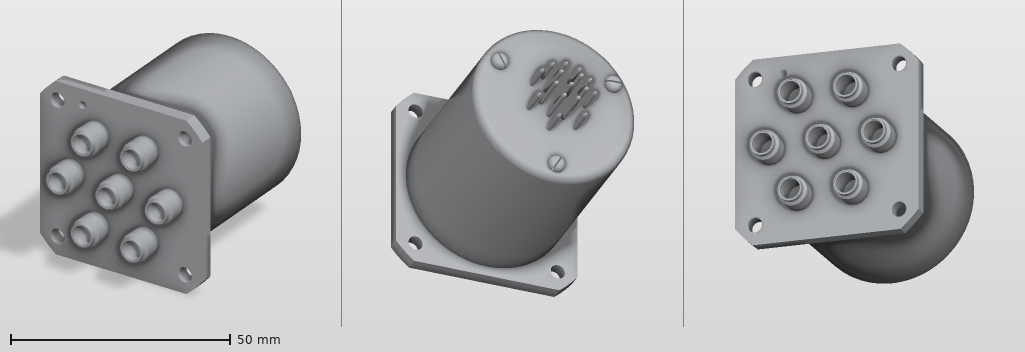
import cadquery as cq
import math


OVERALL_LENGTH = 61.9

FLANGE_SIDE = 44.5
FLANGE_THICKNESS = 3.3
FLANGE_CORNER_RADIUS = 28.55
MOUNT_HOLE_OFFSET = 17.45
MOUNT_HOLE_RADIUS = 1.75
MOUNT_HOLE_CHAMFER = 0.2

DIMPLE_X = -10.5
DIMPLE_Z = 18.15
DIMPLE_RADIUS = 1.0
DIMPLE_DEPTH = 1.0

CAN_RADIUS = 19.9
CAN_LENGTH = 42.4
CAN_EDGE_FILLET = 1.85
CAN_END = FLANGE_THICKNESS + CAN_LENGTH

CONNECTOR_COUNT = 6
CONNECTOR_RING_RADIUS = 13.5
CONNECTOR_LENGTH = 6.2
BARREL_RADIUS = 3.5
BARREL_LENGTH = 4.35
NECK_RADIUS = 2.9
NECK_START = 4.9
BORE_RADIUS = 2.4
MOUTH_RADIUS = 2.65
MOUTH_DEPTH = 0.2

PIN_STEP = 360 / 13
OUTER_PIN_RING_RADIUS = 7.1
OUTER_PIN_STEPS = (0, 1, -1, 2, -2, 3, -4, 5, -6)
OUTER_PIN_RADIUS = 0.525
OUTER_PIN_LENGTH = 7.0
OUTER_PIN_TIP_RADIUS = 0.25
OUTER_PIN_TIP_LENGTH = 0.6
INNER_PIN_RING_RADIUS = 3.7
INNER_PIN_STEPS = (1.5, -1.5, 3.5, -3.5, 5.5, -5.5)
INNER_PIN_RADIUS = 0.525
INNER_PIN_LENGTH = OVERALL_LENGTH - CONNECTOR_LENGTH - CAN_END
INNER_PIN_TIP_RADIUS = 0.4
INNER_PIN_TIP_LENGTH = 0.5

SCREW_RING_RADIUS = 16.1
SCREW_ANGLES = (30, 150, 270)
SCREW_HEAD_RADIUS = 2.05
SCREW_HEAD_HEIGHT = 1.7
SCREW_RIM_HEIGHT = 0.5
SCREW_SLOT_WIDTH = 0.4
SCREW_SLOT_FLOOR = 0.25
SCREW_SLOT_TURN = 30

OVERLAP = 0.3


def polar(radius, degrees):
    """X and Z of a point on a circle about the axis, measured from +X towards +Z."""
    angle = math.radians(degrees)
    return radius * math.cos(angle), radius * math.sin(angle)


def disc(radius, start, length):
    """Cylinder on the switch axis running from Y = start towards +Y."""
    return cq.Workplane("XZ", origin=(0, start, 0)).circle(radius).extrude(-length)


def turned(outline):
    """Solid of revolution about Y from a half outline in the XY plane."""
    return outline.close().revolve(360, (0, 0, 0), (0, 1, 0))


def make_flange():
    square = cq.Workplane("XZ").rect(FLANGE_SIDE, FLANGE_SIDE).extrude(-FLANGE_THICKNESS)
    flange = square.intersect(disc(FLANGE_CORNER_RADIUS, 0, FLANGE_THICKNESS))
    hole = turned(
        cq.Workplane("XY")
        .lineTo(MOUNT_HOLE_RADIUS + MOUNT_HOLE_CHAMFER, 0)
        .lineTo(MOUNT_HOLE_RADIUS, MOUNT_HOLE_CHAMFER)
        .lineTo(MOUNT_HOLE_RADIUS, FLANGE_THICKNESS)
        .lineTo(0, FLANGE_THICKNESS)
    )
    for x in (-MOUNT_HOLE_OFFSET, MOUNT_HOLE_OFFSET):
        for z in (-MOUNT_HOLE_OFFSET, MOUNT_HOLE_OFFSET):
            flange = flange.cut(hole.translate((x, 0, z)))
    dimple = turned(cq.Workplane("XY").lineTo(DIMPLE_RADIUS, 0).lineTo(0, DIMPLE_DEPTH))
    return flange.cut(dimple.translate((DIMPLE_X, 0, DIMPLE_Z)))


def make_can():
    can = disc(CAN_RADIUS, FLANGE_THICKNESS, CAN_LENGTH)
    return can.faces(">Y").edges().fillet(CAN_EDGE_FILLET)


def make_connector():
    """Hollow connector on the axis, pointing towards -Y."""
    return turned(
        cq.Workplane("XY")
        .moveTo(0, OVERLAP)
        .lineTo(BARREL_RADIUS, OVERLAP)
        .lineTo(BARREL_RADIUS, -BARREL_LENGTH)
        .lineTo(NECK_RADIUS, -NECK_START)
        .lineTo(NECK_RADIUS, -CONNECTOR_LENGTH)
        .lineTo(MOUTH_RADIUS, -CONNECTOR_LENGTH)
        .lineTo(MOUTH_RADIUS, MOUTH_DEPTH - CONNECTOR_LENGTH)
        .lineTo(BORE_RADIUS, MOUTH_DEPTH - CONNECTOR_LENGTH)
        .lineTo(BORE_RADIUS, 0)
        .lineTo(0, 0)
    )


def make_pin(radius, length, tip_radius, tip_length):
    """Pin on the axis standing on the can's end, with a tapered tip."""
    tip = CAN_END + length
    return turned(
        cq.Workplane("XY")
        .moveTo(0, CAN_END - OVERLAP)
        .lineTo(radius, CAN_END - OVERLAP)
        .lineTo(radius, tip - tip_length)
        .lineTo(tip_radius, tip)
        .lineTo(0, tip)
    )


def make_screw():
    """Slotted screw head on the axis, standing on the can's end, slot along X."""
    head = disc(SCREW_HEAD_RADIUS, CAN_END - OVERLAP, SCREW_HEAD_HEIGHT + OVERLAP)
    head = head.faces(">Y").edges().fillet(SCREW_HEAD_HEIGHT - SCREW_RIM_HEIGHT)
    slot = (
        cq.Workplane("XZ", origin=(0, CAN_END + SCREW_SLOT_FLOOR, 0))
        .rect(2 * SCREW_HEAD_RADIUS, SCREW_SLOT_WIDTH)
        .extrude(-SCREW_HEAD_HEIGHT)
    )
    return head.cut(slot)


def add_connectors(body):
    connector = make_connector()
    body = body.union(connector)
    for index in range(CONNECTOR_COUNT):
        x, z = polar(CONNECTOR_RING_RADIUS, index * 360 / CONNECTOR_COUNT)
        body = body.union(connector.translate((x, 0, z)))
    return body


def add_pin_ring(body, pin, ring_radius, steps):
    for step in steps:
        x, z = polar(ring_radius, 90 + step * PIN_STEP)
        body = body.union(pin.translate((x, 0, z)))
    return body


def add_screws(body):
    screw = make_screw()
    for angle in SCREW_ANGLES:
        x, z = polar(SCREW_RING_RADIUS, angle)
        turned_screw = screw.rotate((0, 0, 0), (0, 1, 0), -(angle + SCREW_SLOT_TURN))
        body = body.union(turned_screw.translate((x, 0, z)))
    return body


inner_pin = make_pin(INNER_PIN_RADIUS, INNER_PIN_LENGTH, INNER_PIN_TIP_RADIUS, INNER_PIN_TIP_LENGTH)
outer_pin = make_pin(OUTER_PIN_RADIUS, OUTER_PIN_LENGTH, OUTER_PIN_TIP_RADIUS, OUTER_PIN_TIP_LENGTH)

result = make_flange().union(make_can())
result = add_connectors(result)
result = result.union(inner_pin)
result = add_pin_ring(result, inner_pin, INNER_PIN_RING_RADIUS, INNER_PIN_STEPS)
result = add_pin_ring(result, outer_pin, OUTER_PIN_RING_RADIUS, OUTER_PIN_STEPS)
result = add_screws(result)